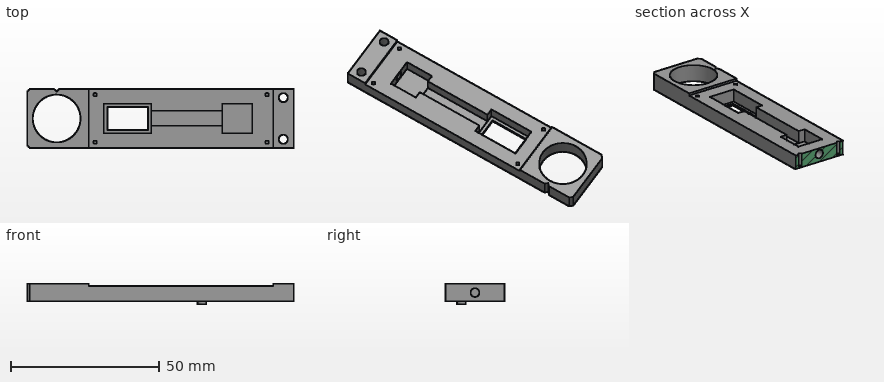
import cadquery as cq

length = 90.1
width = 20.0
total_height = 7.0
pin_length = 1.0
height = total_height - pin_length
corner_chamfer = 1.0

opening_diameter = 16.0
opening_x = width / 2
notch_depth = 0.9

recess_start = 20.9
end_block_length = 7.0
recess_end = length - end_block_length
recess_depth = 0.8
recess_top = height - recess_depth

pocket_depth = 4.5
pocket_floor = recess_top - pocket_depth
pocket_width = 10.0
window_pocket_start = 25.95
window_pocket_end = 42.0
square_pocket_start = 65.95
square_pocket_end = square_pocket_start + pocket_width
channel_width = 5.05
channel_rise = 0.1
channel_floor = pocket_floor + channel_rise

window_length = 13.6
window_width = 7.7
window_x = (window_pocket_start + window_pocket_end) / 2

side_port_diameter = 3.0
side_port_z = pocket_floor + pocket_depth / 2

small_hole_diameter = 1.2
small_hole_depth = pocket_depth
small_hole_xs = (23.0, 81.0)
small_hole_y = 8.0

mount_diameter = 3.0
mount_x = 86.5
mount_y = 7.0
pin_diameter = 3.0
pin_x = 59.0
pin_y = -4.6


def box_between(x_start, x_end, y_size, z_start, z_end):
    """Block centred on Y = 0 between the given X and Z limits."""
    size = (x_end - x_start, y_size, z_end - z_start)
    block = cq.Workplane("XY").box(*size, centered=(False, True, False))
    return block.translate((x_start, 0, z_start))


def upright_cylinder(x, y, diameter, z_start, z_end):
    """Vertical cylinder between two heights."""
    circle = cq.Workplane("XY", origin=(x, y, z_start)).circle(diameter / 2)
    return circle.extrude(z_end - z_start)


def bar():
    """Bar with chamfered corners at the ring end and the recess cut in its top."""
    blank = box_between(0, length, width, 0, height)
    blank = blank.edges("|Z and <X").chamfer(corner_chamfer)
    return blank.cut(box_between(recess_start, recess_end, width, recess_top, height))


def notch():
    """Right-angled V through the full height of the +Y edge."""
    edge_y = width / 2
    corners = [
        (opening_x - notch_depth, edge_y),
        (opening_x, edge_y - notch_depth),
        (opening_x + notch_depth, edge_y),
    ]
    return cq.Workplane("XY").polyline(corners).close().extrude(height)


def pockets():
    """Both pockets, the channel joining them and the window through the floor."""
    window_pocket = box_between(
        window_pocket_start, window_pocket_end, pocket_width, pocket_floor, recess_top
    )
    channel = box_between(
        window_pocket_end, square_pocket_start, channel_width, channel_floor, recess_top
    )
    square_pocket = box_between(
        square_pocket_start, square_pocket_end, pocket_width, pocket_floor, recess_top
    )
    window = box_between(
        window_x - window_length / 2, window_x + window_length / 2, window_width, 0, pocket_floor
    )
    return window_pocket.union(channel).union(square_pocket).union(window)


def side_port():
    """Horizontal hole from the square pocket out through the +X end."""
    start = cq.Workplane("YZ", origin=(square_pocket_end, 0, side_port_z))
    return start.circle(side_port_diameter / 2).extrude(length - square_pocket_end)


result = bar().cut(upright_cylinder(opening_x, 0, opening_diameter, 0, height))
result = result.cut(notch()).cut(pockets()).cut(side_port())

for side in (-1, 1):
    result = result.cut(upright_cylinder(mount_x, side * mount_y, mount_diameter, 0, height))
    for hole_x in small_hole_xs:
        small_hole = upright_cylinder(
            hole_x, side * small_hole_y, small_hole_diameter, recess_top - small_hole_depth, recess_top
        )
        result = result.cut(small_hole)

result = result.union(upright_cylinder(pin_x, pin_y, pin_diameter, -pin_length, 0))